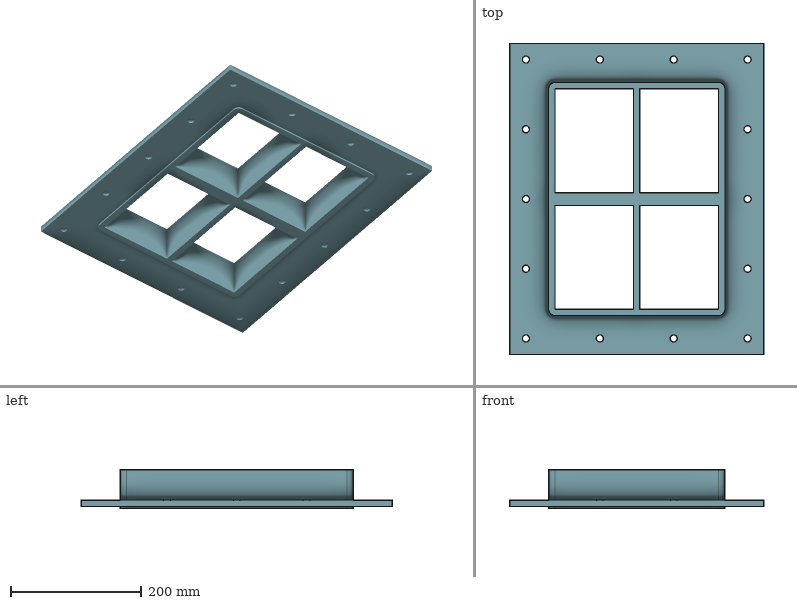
import cadquery as cq

frame_width = 271.0
frame_length = 359.0
frame_height = 60.0
frame_corner_radius = 10.0
wall_thickness = 10.0
lengthwise_divider_thickness = 10.0
crosswise_divider_thickness = 20.0

flange_margin = 60.0
flange_thickness = 10.0
flange_bottom = 3.0
flange_width = frame_width + 2 * flange_margin
flange_length = frame_length + 2 * flange_margin

window_width = (frame_width - 2 * wall_thickness - lengthwise_divider_thickness) / 2
window_length = (frame_length - 2 * wall_thickness - crosswise_divider_thickness) / 2
window_pitch_x = window_width + lengthwise_divider_thickness
window_pitch_y = window_length + crosswise_divider_thickness

hole_diameter = 10.5
hole_edge_distance = 25.0
holes_along_x = 4
holes_along_y = 5


def make_flange():
    return (
        cq.Workplane("XY", origin=(0, 0, flange_bottom))
        .rect(flange_width, flange_length)
        .extrude(flange_thickness)
    )


def make_frame_block():
    return (
        cq.Workplane("XY")
        .rect(frame_width, frame_length)
        .extrude(frame_height)
        .edges("|Z")
        .fillet(frame_corner_radius)
    )


def make_windows():
    return (
        cq.Workplane("XY")
        .rarray(window_pitch_x, window_pitch_y, 2, 2)
        .rect(window_width, window_length)
        .extrude(frame_height)
    )


def bolt_hole_centers():
    """Return the outermost ring of a regular grid of points."""
    span_x = flange_width - 2 * hole_edge_distance
    span_y = flange_length - 2 * hole_edge_distance
    last_column = holes_along_x - 1
    last_row = holes_along_y - 1
    centers = []
    for column in range(holes_along_x):
        for row in range(holes_along_y):
            if column in (0, last_column) or row in (0, last_row):
                x = span_x * (column / last_column - 0.5)
                y = span_y * (row / last_row - 0.5)
                centers.append((x, y))
    return centers


def make_bolt_holes():
    return (
        cq.Workplane("XY", origin=(0, 0, flange_bottom))
        .pushPoints(bolt_hole_centers())
        .circle(hole_diameter / 2)
        .extrude(flange_thickness)
    )


result = make_flange().union(make_frame_block()).cut(make_windows()).cut(make_bolt_holes())